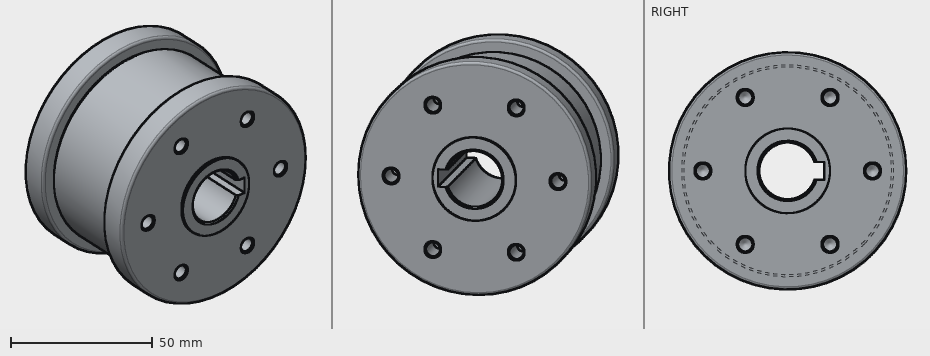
import cadquery as cq
import math

overall_length = 57.0
flange_diameter = 84.0
flange_width = 10.5
drum_diameter = 75.0
hub_diameter = 30.0
hub_projection = 1.0
flange_rounding = 1.0
drum_rounding = 0.75

bore_diameter = 20.0
bore_chamfer = 0.7
keyway_width = 6.2
keyway_reach = 12.9

bolt_count = 6
bolt_circle_diameter = 60.0
bolt_hole_diameter = 5.0
bolt_hole_chamfer = 0.5
bolt_hole_depth = 15.0
drill_point_angle = 118.0

half_length = overall_length / 2
flange_outer_x = half_length - hub_projection
drum_length = 2 * (flange_outer_x - flange_width)


def cylinder(diameter, length, start_x):
    return cq.Workplane("YZ").workplane(offset=start_x).circle(diameter / 2).extrude(length)


def spool_body():
    """Drum between two flanges, with a short hub standing out at each end."""
    drum = cylinder(drum_diameter, drum_length, -drum_length / 2)
    body = drum.edges().fillet(drum_rounding)
    for flange_start in (-flange_outer_x, drum_length / 2):
        flange = cylinder(flange_diameter, flange_width, flange_start)
        body = body.union(flange.edges().fillet(flange_rounding))
    return body.union(cylinder(hub_diameter, overall_length, -half_length))


def bore_cutter():
    """Through bore, widened by a chamfer at both ends."""
    radius = bore_diameter / 2
    mouth_radius = radius + bore_chamfer
    return (
        cq.Workplane("XY")
        .moveTo(-half_length, 0)
        .lineTo(-half_length, mouth_radius)
        .lineTo(-half_length + bore_chamfer, radius)
        .lineTo(half_length - bore_chamfer, radius)
        .lineTo(half_length, mouth_radius)
        .lineTo(half_length, 0)
        .close()
        .revolve(360, (0, 0, 0), (1, 0, 0))
    )


def keyway_cutter():
    return cq.Workplane("XY").box(
        overall_length, keyway_reach, keyway_width, centered=(True, False, True)
    )


def bolt_hole_cutter():
    """Blind hole in the -X end face: chamfered mouth, straight wall and drill point."""
    drill_radius = bolt_hole_diameter / 2
    mouth_radius = drill_radius + bolt_hole_chamfer
    point_length = drill_radius / math.tan(math.radians(drill_point_angle / 2))
    return (
        cq.Workplane("XY")
        .moveTo(0, 0)
        .lineTo(0, mouth_radius)
        .lineTo(bolt_hole_chamfer, drill_radius)
        .lineTo(bolt_hole_depth, drill_radius)
        .lineTo(bolt_hole_depth + point_length, 0)
        .close()
        .revolve(360, (0, 0, 0), (1, 0, 0))
        .translate((-flange_outer_x, bolt_circle_diameter / 2, 0))
    )


result = spool_body().cut(bore_cutter()).cut(keyway_cutter())
for index in range(bolt_count):
    angle = index * 360 / bolt_count
    bolt_hole = bolt_hole_cutter().rotate((0, 0, 0), (1, 0, 0), angle)
    result = result.cut(bolt_hole).cut(bolt_hole.mirror("YZ"))